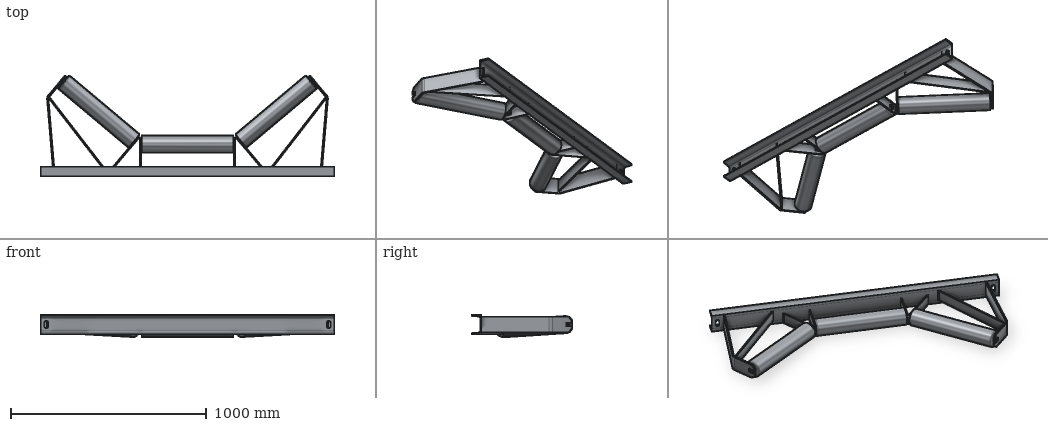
import cadquery as cq
import math


BEAM_LENGTH = 1500.0
BEAM_HEIGHT = 100.0
BEAM_WIDTH = 50.0
WEB_THICKNESS = 6.0
FLANGE_THICKNESS = 8.5
FLANGE_SLOPE = 0.08
ROOT_RADIUS = 8.5
TIP_RADIUS = 4.5
MOUNT_SLOT_WIDTH = 18.0
MOUNT_SLOT_LENGTH = 36.0
MOUNT_SLOT_END_DISTANCE = 30.0

ROLLER_DIAMETER = 89.0
ROLLER_LENGTH = 469.0
ROLLER_EDGE_RADIUS = 4.0
SHAFT_DIAMETER = 25.0
SHAFT_FLATS = 18.0
CENTRE_AXIS_Y = 165.0
CENTRE_AXIS_Z = -20.0
TROUGH_ANGLE = 40.0
WING_INNER_X = 272.5
WING_INNER_Y = 180.5
WING_OUTER_Z = 0.0
INNER_GAP = 2.0
OUTER_GAP = 8.0

OUTER_PLATE = 8.0
OUTER_HEIGHT = 80.0
OUTER_FOOT_X = 680.0
OUTER_BEND_DROP = 112.0
OUTER_BEND_RADIUS = 17.0
OUTER_TOP_Y = 514.46
END_CHAMFER = 20.0

INNER_PLATE = 6.0
INNER_HEIGHT = 60.0
INNER_RISE = 28.0
CENTRE_PLATE_TOP_Y = 197.0
STRUT_PLATE = 6.0
STRUT_HEIGHT = 60.0
STRUT_FOOT_X = 438.0

TROUGH = math.radians(TROUGH_ANGLE)
LEAN = math.asin((WING_OUTER_Z - CENTRE_AXIS_Z) / ROLLER_LENGTH)
ALONG = cq.Vector(math.cos(TROUGH), math.sin(TROUGH))
ACROSS = cq.Vector(-math.sin(TROUGH), math.cos(TROUGH))
WING_INNER_END = cq.Vector(WING_INNER_X, WING_INNER_Y)
WING_OUTER_END = WING_INNER_END + ALONG * (ROLLER_LENGTH * math.cos(LEAN))
OUTER_FACE = WING_OUTER_END + ALONG * OUTER_GAP
OUTER_BEND = OUTER_FACE - ACROSS * OUTER_BEND_DROP
BEAM_BACK = cq.Vector(0, BEAM_WIDTH)
LEVEL = cq.Vector(1, 0)


def left_of(direction):
    return cq.Vector(-direction.y, direction.x)


def crossing(p, p_direction, q, q_direction):
    """Point where the line through p meets the line through q."""
    normal = left_of(q_direction)
    return p + p_direction * ((q - p).dot(normal) / p_direction.dot(normal))


def bent_strip(face, thickness, start_cut, end_cut, height, z_middle):
    """Upright strip: `face` is one face in plan, the thickness lies to its left.

    The two cuts are the directions of the end faces. Returns the strip and its opposite face.
    """
    directions = [(b - a).normalized() for a, b in zip(face, face[1:])]
    far_lines = [(p + left_of(d) * thickness, d) for p, d in zip(face, directions)]
    back = [crossing(*far_lines[0], face[0], start_cut)]
    back += [crossing(*first, *second) for first, second in zip(far_lines, far_lines[1:])]
    back.append(crossing(*far_lines[-1], face[-1], end_cut))
    strip = (
        cq.Workplane("XY", origin=(0, 0, z_middle - height / 2))
        .polyline([p.toTuple()[:2] for p in face + back[::-1]])
        .close()
        .extrude(height)
    )
    return strip, back


def nearest_edge(x, y, z):
    return cq.selectors.NearestToPointSelector((x, y, z))


def make_beam():
    half = BEAM_HEIGHT / 2
    web_face = BEAM_WIDTH - WEB_THICKNESS
    tip = half - FLANGE_THICKNESS + FLANGE_SLOPE * BEAM_WIDTH / 2
    root = tip - FLANGE_SLOPE * web_face
    beam = (
        cq.Workplane("YZ")
        .polyline([
            (0, half), (BEAM_WIDTH, half), (BEAM_WIDTH, -half), (0, -half),
            (0, -tip), (web_face, -root), (web_face, root), (0, tip),
        ])
        .close()
        .extrude(BEAM_LENGTH / 2, both=True)
    )
    for side in (-1, 1):
        beam = beam.edges(nearest_edge(0, 0, side * tip)).fillet(TIP_RADIUS)
        beam = beam.edges(nearest_edge(0, web_face, side * root)).fillet(ROOT_RADIUS)
    slot_x = BEAM_LENGTH / 2 - MOUNT_SLOT_END_DISTANCE
    slots = (
        cq.Workplane("XZ", origin=(0, BEAM_WIDTH, 0))
        .pushPoints([(-slot_x, 0), (slot_x, 0)])
        .slot2D(MOUNT_SLOT_LENGTH, MOUNT_SLOT_WIDTH, 90)
        .extrude(WEB_THICKNESS)
    )
    return beam.cut(slots)


def make_roller(start_reach, end_reach):
    """Roller along +X from the origin; its flatted shaft reaches out past both ends."""
    drum = (
        cq.Workplane("YZ")
        .circle(ROLLER_DIAMETER / 2)
        .extrude(ROLLER_LENGTH)
        .edges()
        .fillet(ROLLER_EDGE_RADIUS)
    )
    shaft_length = start_reach + ROLLER_LENGTH + end_reach
    shaft = cq.Workplane("YZ", origin=(-start_reach, 0, 0)).circle(SHAFT_DIAMETER / 2).extrude(shaft_length)
    flats = cq.Workplane("XY").box(2 * shaft_length, SHAFT_DIAMETER, SHAFT_FLATS)
    return drum.union(shaft.intersect(flats))


def place_on_wing(body):
    """Move a body from the roller's own frame to the right wing."""
    return (
        body.rotate((0, 0, 0), (0, 1, 0), -math.degrees(LEAN))
        .rotate((0, 0, 0), (0, 0, 1), TROUGH_ANGLE)
        .translate((WING_INNER_X, WING_INNER_Y, CENTRE_AXIS_Z))
    )


def make_centre_roller():
    reach = INNER_GAP + INNER_PLATE
    return make_roller(reach, reach).translate((-ROLLER_LENGTH / 2, CENTRE_AXIS_Y, CENTRE_AXIS_Z))


def make_wing_roller():
    return place_on_wing(make_roller(INNER_GAP + INNER_PLATE, OUTER_GAP + OUTER_PLATE))


def make_outer_bracket(wing_roller):
    outer_face = OUTER_FACE + ALONG * OUTER_PLATE
    end = OUTER_FACE + ACROSS * ((OUTER_TOP_Y - outer_face.y) / ACROSS.y)
    foot = cq.Vector(OUTER_FOOT_X, BEAM_WIDTH)
    bracket, back = bent_strip(
        [end, OUTER_BEND, foot], OUTER_PLATE, ALONG, LEVEL, OUTER_HEIGHT, WING_OUTER_Z
    )
    outer_end, outer_bend = back[:2]
    inside = nearest_edge(OUTER_BEND.x, OUTER_BEND.y, WING_OUTER_Z)
    bracket = bracket.edges(inside).fillet(OUTER_BEND_RADIUS)
    outside = nearest_edge(outer_bend.x, outer_bend.y, WING_OUTER_Z)
    bracket = bracket.edges(outside).fillet(OUTER_BEND_RADIUS + OUTER_PLATE)
    corner = (end + outer_end) * 0.5
    for side in (-1, 1):
        edge = nearest_edge(corner.x, corner.y, WING_OUTER_Z + side * OUTER_HEIGHT / 2)
        bracket = bracket.edges(edge).chamfer(END_CHAMFER)
    slot = place_on_wing(
        cq.Workplane("XY", origin=(ROLLER_LENGTH, 0, 0))
        .box(ROLLER_LENGTH, ROLLER_DIAMETER, SHAFT_FLATS, centered=(True, False, True))
    )
    return bracket.cut(slot).cut(wing_roller)


def make_inner_bracket(wing_roller, centre_roller):
    wing_face = WING_INNER_END - ALONG * INNER_GAP
    centre_face = ROLLER_LENGTH / 2 + INNER_GAP
    face = [
        crossing(wing_face, ACROSS, BEAM_BACK, LEVEL),
        wing_face + ACROSS * INNER_RISE,
        cq.Vector(centre_face, CENTRE_PLATE_TOP_Y),
        cq.Vector(centre_face, BEAM_WIDTH),
    ]
    bracket, _ = bent_strip(face, INNER_PLATE, LEVEL, LEVEL, INNER_HEIGHT, CENTRE_AXIS_Z)
    return bracket.cut(wing_roller).cut(centre_roller)


def make_strut(outer_bracket):
    foot = cq.Vector(STRUT_FOOT_X, BEAM_WIDTH)
    strut, _ = bent_strip([foot, OUTER_BEND], STRUT_PLATE, LEVEL, ACROSS, STRUT_HEIGHT, WING_OUTER_Z)
    return strut.cut(outer_bracket)


beam = make_beam()
centre_roller = make_centre_roller()
wing_roller = make_wing_roller()
outer_bracket = make_outer_bracket(wing_roller)
inner_bracket = make_inner_bracket(wing_roller, centre_roller)
strut = make_strut(outer_bracket)

bodies = [beam.val(), centre_roller.val()]
for part in (wing_roller, outer_bracket, inner_bracket, strut):
    bodies += [*part.vals(), *part.mirror("YZ").vals()]

result = cq.Compound.makeCompound(bodies)